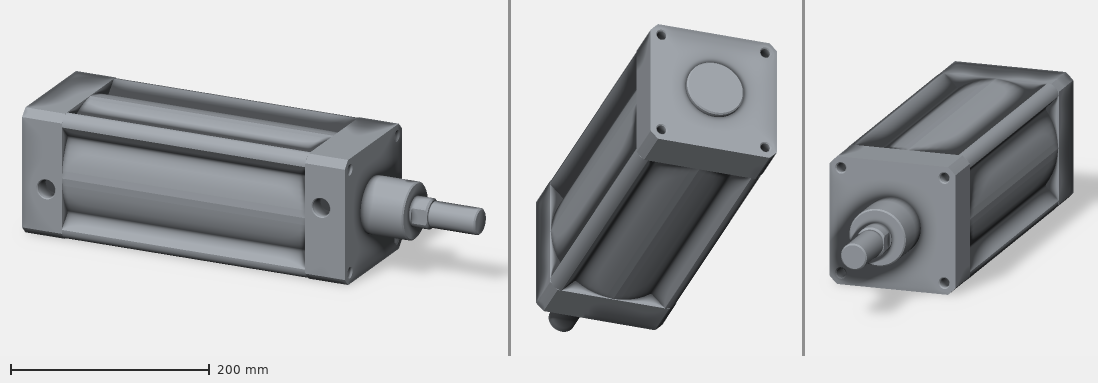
import cadquery as cq
import math

TOTAL_LENGTH = 485.0
BOSS_LENGTH = 6.5
CAP_LENGTH = 44.0
BARREL_LENGTH = 271.0
SLEEVE_LENGTH = 47.0

REAR_FACE_X = BOSS_LENGTH
BARREL_START_X = REAR_FACE_X + CAP_LENGTH
BARREL_END_X = BARREL_START_X + BARREL_LENGTH
FRONT_FACE_X = BARREL_END_X + CAP_LENGTH
SLEEVE_END_X = FRONT_FACE_X + SLEEVE_LENGTH

CAP_SIDE = 134.0
CAP_CORNER_RADIUS = 89.0
BOSS_DIAMETER = 60.0
BOSS_CHAMFER = 1.5

BOLT_SPACING = 110.0
BOLT_HOLE_DIAMETER = 9.5
BOLT_COUNTERSINK_DIAMETER = 12.0
BOLT_COUNTERSINK_ANGLE = 90
BOLT_HOLE_DEPTH = 19.5

PORT_DIAMETER = 19.5
PORT_CHAMFER = 1.0
PORT_DEPTH = 19.5
PORT_INSET = 26.5
PORT_OFFSET_Z = 14.0

BARREL_RADIUS = 66.0
RIDGE_HALF_WIDTH = 8.0
LOBE_RADIUS = 12.0
LOBE_ROOT_FILLET = 2.2

ROD_DIAMETER = 32.0
ROD_SHOULDER_X = 432.0
ROD_SHOULDER_CHAMFER = 2.0
FLATS_START_X = 415.0
FLATS_WIDTH = 27.5
THREAD_DIAMETER = 27.5
THREAD_START_CHAMFER = 1.5
THREAD_END_CHAMFER = 1.5


def disc(start_x, length, diameter):
    """Cylinder on the X axis starting at start_x."""
    return cq.Workplane("YZ", origin=(start_x, 0, 0)).circle(diameter / 2).extrude(length)


def cap_block(start_x):
    """Square cap whose long edges are turned off to a radius about the cylinder axis."""
    block = cq.Workplane("YZ", origin=(start_x, 0, 0)).rect(CAP_SIDE, CAP_SIDE).extrude(CAP_LENGTH)
    return block.intersect(disc(start_x, CAP_LENGTH, 2 * CAP_CORNER_RADIUS))


def cut_bolt_holes(cap, outer_face):
    """Four blind countersunk holes in the outer face (named by its selector)."""
    return (
        cap.faces(outer_face)
        .workplane(origin=(0, 0, 0))
        .rect(BOLT_SPACING, BOLT_SPACING, forConstruction=True)
        .vertices()
        .cskHole(BOLT_HOLE_DIAMETER, BOLT_COUNTERSINK_DIAMETER, BOLT_COUNTERSINK_ANGLE, BOLT_HOLE_DEPTH)
    )


def cut_port(cap, port_x, port_z):
    """Blind round port with a chamfered mouth in the -Y face."""
    centre = cq.Vector(port_x, -CAP_SIDE / 2, port_z)
    inward = cq.Vector(0, 1, 0)
    radius = PORT_DIAMETER / 2
    bore = cq.Solid.makeCylinder(radius, PORT_DEPTH, centre, inward)
    mouth = cq.Solid.makeCone(radius + PORT_CHAMFER, radius, PORT_CHAMFER, centre, inward)
    return cap.cut(cq.Workplane(bore)).cut(cq.Workplane(mouth))


def make_rear_cap():
    cap = cut_bolt_holes(cap_block(REAR_FACE_X), "<X")
    cap = cut_port(cap, REAR_FACE_X + PORT_INSET, -PORT_OFFSET_Z)
    boss = disc(0, BOSS_LENGTH, BOSS_DIAMETER).faces("<X").chamfer(BOSS_CHAMFER)
    return cap.union(boss)


def make_front_cap():
    cap = cut_bolt_holes(cap_block(BARREL_END_X), ">X")
    cap = cut_port(cap, FRONT_FACE_X - PORT_INSET, PORT_OFFSET_Z)
    sleeve = disc(FRONT_FACE_X, SLEEVE_LENGTH, BOSS_DIAMETER).faces(">X").chamfer(BOSS_CHAMFER)
    rod_bore = disc(BARREL_END_X, SLEEVE_END_X - BARREL_END_X, ROD_DIAMETER)
    return cap.union(sleeve).cut(rod_bore)


def turn(point, quarter):
    """Turn a (y, z) point about the axis by a number of quarter turns."""
    y, z = point
    for _ in range(quarter):
        y, z = -z, y
    return y, z


def mirrored(point):
    """Mirror a (y, z) point in the diagonal of the first quarter."""
    return point[1], point[0]


def on_barrel(angle):
    """Point (y, z) of the round body at an angle from the +Y axis."""
    return BARREL_RADIUS * math.cos(angle), BARREL_RADIUS * math.sin(angle)


def make_barrel():
    ridge_angle = math.asin(RIDGE_HALF_WIDTH / BARREL_RADIUS)
    ridge = (BARREL_RADIUS / math.cos(ridge_angle), 0)
    flat_end = on_barrel(ridge_angle)

    root_angle = math.pi / 4 - math.asin(LOBE_RADIUS / (math.sqrt(2) * BARREL_RADIUS))
    root = on_barrel(root_angle)
    arc_mid = on_barrel((ridge_angle + root_angle) / 2)

    outer = CAP_SIDE / 2
    lobe_centre = outer - LOBE_RADIUS
    lobe_tip = lobe_centre + LOBE_RADIUS * math.sqrt(0.5)
    flank_end = (outer, lobe_centre)

    outline = cq.Workplane("YZ", origin=(BARREL_START_X, 0, 0)).moveTo(*ridge)
    for quarter in range(4):
        outline = (
            outline.lineTo(*turn(flat_end, quarter))
            .threePointArc(turn(arc_mid, quarter), turn(root, quarter))
            .lineTo(*turn(flank_end, quarter))
            .threePointArc(turn((lobe_tip, lobe_tip), quarter), turn(mirrored(flank_end), quarter))
            .lineTo(*turn(mirrored(root), quarter))
            .threePointArc(turn(mirrored(arc_mid), quarter), turn(mirrored(flat_end), quarter))
            .lineTo(*turn(mirrored(ridge), quarter))
        )
    barrel = outline.close().extrude(BARREL_LENGTH)

    barrel_middle_x = BARREL_START_X + BARREL_LENGTH / 2
    for quarter in range(4):
        for root_point in (root, mirrored(root)):
            root_edge = cq.selectors.NearestToPointSelector((barrel_middle_x, *turn(root_point, quarter)))
            barrel = barrel.edges("|X").edges(root_edge).fillet(LOBE_ROOT_FILLET)
    return barrel


def flats_cutter():
    """What lies outside the two wrench flats, which face -Y and +Y."""
    length = ROD_SHOULDER_X - FLATS_START_X
    start = cq.Workplane("YZ", origin=(FLATS_START_X, 0, 0))
    around = start.rect(ROD_DIAMETER, ROD_DIAMETER).extrude(length)
    between = start.rect(FLATS_WIDTH, ROD_DIAMETER).extrude(length)
    return around.cut(between)


def make_rod():
    """Rod from the barrel end through the front cap, with wrench flats and a plain thread cylinder."""
    shank = disc(BARREL_END_X, ROD_SHOULDER_X - BARREL_END_X, ROD_DIAMETER)
    shank = shank.faces(">X").chamfer(ROD_SHOULDER_CHAMFER).cut(flats_cutter())
    thread = disc(ROD_SHOULDER_X, TOTAL_LENGTH - ROD_SHOULDER_X, THREAD_DIAMETER)
    thread = thread.faces("<X").chamfer(THREAD_START_CHAMFER)
    thread = thread.faces(">X").chamfer(THREAD_END_CHAMFER)
    return shank.union(thread)


rear_cap = make_rear_cap()
barrel = make_barrel()
front_cap = make_front_cap()
rod = make_rod()

result = cq.Compound.makeCompound([body.solids().val() for body in (rear_cap, barrel, front_cap, rod)])